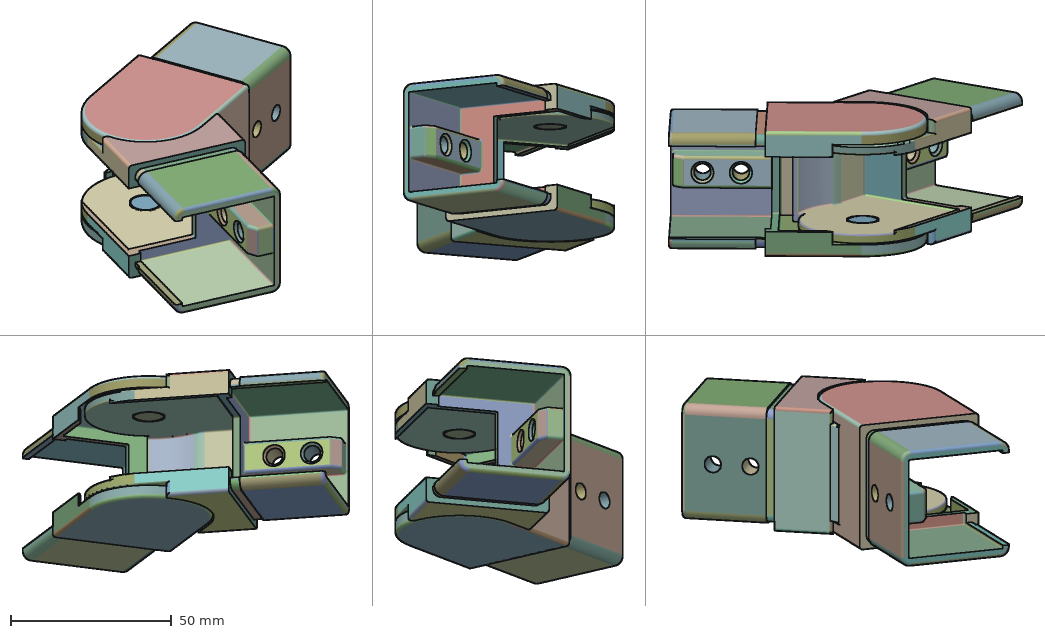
import cadquery as cq
import math


BEND_ANGLE = 125.0
PIN_RADIUS = 5.0
PIN_CHAMFER = 0.3
PIN_END = 18.0

BLOCK_HALF = 40.0 / 2
BLOCK_END = 30.0
BLOCK_EDGE_RADIUS = 1.1
OPENING_HALF_HEIGHT = 12.0
RIM_INNER = 18.2
BACK_WALL_INNER = 18.2
BULKHEAD_START = 25.9
BULKHEAD_END = 28.3
BULKHEAD_EDGE = 3.8
INNER_RADIUS = 0.5

OUTER_CHEEK_INNER = 16.0
INNER_CHEEK_OUTER = 15.7
INNER_CHEEK_INNER = 12.7
CHEEK_EDGE_RADIUS = 0.5
OUTER_RIM_START = 9.0
OUTER_RIM_CLEARANCE = 21.5
RECESS_RADIUS = BLOCK_HALF + 0.2
RECESS_STOP = 9.8
RECESS_FRONT_RADIUS = 1.4
RECESS_BACK_RADIUS = 0.9

SHIELD_INNER_RADIUS = 21.6
SHIELD_OUTER_RADIUS = 23.4
SHIELD_CLEARANCE = SHIELD_OUTER_RADIUS + 0.3
SHIELD_END_ANGLE = 104.0
SHIELD_END_RADIUS = 0.5
SHIELD_START_ANGLE = 45.0
SHIELD_BLEND_RADIUS = 7.4

PLUG_HALF = 18.2
PLUG_HALF_HEIGHT = 18.5
PLUG_END = 60.0
PLUG_CORNER_RADIUS = 3.0
PLUG_END_RADIUS = 1.1
NECK_END = 33.0
NECK_DEPTH = 0.4
CAVITY_HALF = 15.8
CAVITY_RADIUS = 0.4
MOUTH_HALF_HEIGHT = 14.8

PAD_FACE = 8.3
PAD_HALF_HEIGHT = 5.1
PAD_END = 59.2
PAD_RAMP_START = 55.9
PAD_RAMP_END_FACE = 10.5
PAD_EDGE_RADIUS = 1.0
SCREW_FIRST = 38.0
SCREW_PITCH = 12.0
SCREW_COUNT = 2
SCREW_DIAMETER = 5.2
SINK_DIAMETER = 7.0

REACH = 87.1


def block(x0, x1, y0, y1, half_height):
    """Box from x0 to x1 and y0 to y1, centred on z = 0."""
    return (
        cq.Workplane("XY")
        .box(x1 - x0, y1 - y0, 2 * half_height, centered=(False, False, True))
        .translate((x0, y0, 0))
    )


def disc(radius, half_height):
    """Disc about the hinge axis, centred on z = 0."""
    return cq.Workplane("XY").circle(radius).extrude(half_height, both=True)


def polar(radius, angle):
    """Point in the XY plane at an angle in degrees about the hinge axis."""
    return (radius * math.cos(math.radians(angle)), radius * math.sin(math.radians(angle)))


def knuckle(half_height):
    """Straight block with a round end about the hinge axis."""
    return (
        cq.Workplane("XY")
        .moveTo(BLOCK_END, -BLOCK_HALF)
        .lineTo(0, -BLOCK_HALF)
        .threePointArc((-BLOCK_HALF, 0), (0, BLOCK_HALF))
        .lineTo(BLOCK_END, BLOCK_HALF)
        .close()
        .extrude(half_height, both=True)
    )


def rounded_knuckle():
    """Full-height knuckle with rounded long and round-end edges."""
    return knuckle(BLOCK_HALF).faces("|Z").edges("not >X").fillet(BLOCK_EDGE_RADIUS)


def plug():
    """Tube plug with a slimmer neck beside the block."""
    head = (
        block(NECK_END, PLUG_END, -PLUG_HALF, PLUG_HALF, PLUG_HALF_HEIGHT)
        .edges("|X")
        .fillet(PLUG_CORNER_RADIUS)
        .faces(">X")
        .edges()
        .fillet(PLUG_END_RADIUS)
    )
    neck_half = PLUG_HALF - NECK_DEPTH
    neck = (
        block(BULKHEAD_END, NECK_END, -neck_half, neck_half, PLUG_HALF_HEIGHT - NECK_DEPTH)
        .edges("|X")
        .fillet(PLUG_CORNER_RADIUS - NECK_DEPTH)
    )
    return head.union(neck)


def screw_pad():
    """Sharp-edged pad on the inside of the back wall, ramped at its free end."""
    return (
        cq.Workplane("XY")
        .moveTo(BULKHEAD_START, BACK_WALL_INNER)
        .lineTo(BULKHEAD_START, PAD_FACE)
        .lineTo(PAD_RAMP_START, PAD_FACE)
        .lineTo(PAD_END, PAD_RAMP_END_FACE)
        .lineTo(PAD_END, BACK_WALL_INNER)
        .close()
        .extrude(PAD_HALF_HEIGHT, both=True)
    )


def plug_cavity():
    """Hollow of the plug, leaving the screw pad standing, with every inside edge rounded."""
    cavity = block(BULKHEAD_END, REACH, -CAVITY_HALF, CAVITY_HALF, CAVITY_HALF).cut(screw_pad())
    pad_zone = cq.selectors.BoxSelector(
        (BULKHEAD_END + 1.1, PAD_FACE - 1.1, -PAD_HALF_HEIGHT - 1.1),
        (PAD_END + 1.1, CAVITY_HALF - 1.1, PAD_HALF_HEIGHT + 1.1),
    )
    cavity = cavity.edges(pad_zone).edges("not |Z").fillet(PAD_EDGE_RADIUS)
    return cavity.edges("not >X").fillet(CAVITY_RADIUS)


def screw_holes():
    """Countersunk screw holes through the pad and the back wall."""
    sink_depth = (SINK_DIAMETER - SCREW_DIAMETER) / 2
    cutters = cq.Workplane("XY")
    for index in range(SCREW_COUNT):
        cutter = (
            cq.Workplane("XY")
            .lineTo(SINK_DIAMETER / 2, 0)
            .lineTo(SCREW_DIAMETER / 2, sink_depth)
            .lineTo(SCREW_DIAMETER / 2, PLUG_HALF)
            .lineTo(0, PLUG_HALF)
            .close()
            .revolve(360, (0, 0, 0), (0, 1, 0))
            .translate((SCREW_FIRST + index * SCREW_PITCH, PAD_FACE, 0))
        )
        cutters = cutters.add(cutter)
    return cutters


def add_tail(knuckle_body):
    """Add the hollow plug, its screw pad and the bulkhead window to a knuckle."""
    mouth = block(BLOCK_END, REACH, -REACH, 0, MOUTH_HALF_HEIGHT)
    window = (
        block(-REACH, BLOCK_END, -REACH, BULKHEAD_EDGE, OPENING_HALF_HEIGHT)
        .edges("|X")
        .edges(">Y")
        .fillet(INNER_RADIUS)
    )
    body = knuckle_body.union(plug()).cut(plug_cavity()).cut(mouth).cut(window)
    for cutter in screw_holes().vals():
        body = body.cut(cq.Workplane(cutter))
    return body


def pin_hole():
    """Cutter for both pins."""
    return disc(PIN_RADIUS, PIN_END)


def outer_arm():
    """Arm whose cheeks lie outside at the hinge, modelled along +X."""
    pocket = (
        block(-REACH, BULKHEAD_START, -RIM_INNER, BACK_WALL_INNER, OUTER_CHEEK_INNER)
        .faces(">X")
        .edges()
        .fillet(INNER_RADIUS)
    )
    shield_sweep = disc(SHIELD_CLEARANCE, OUTER_CHEEK_INNER).intersect(
        block(-REACH, REACH, 0, REACH, OUTER_CHEEK_INNER)
    )
    rim_sweep = disc(OUTER_RIM_CLEARANCE, OUTER_CHEEK_INNER)
    rim_end = block(-REACH, OUTER_RIM_START, -REACH, 0, OUTER_CHEEK_INNER)
    body = rounded_knuckle().cut(pocket).cut(shield_sweep).cut(rim_sweep).cut(rim_end)
    return add_tail(body).cut(pin_hole())


def hinge_recess():
    """Space above the inner cheeks for the outer cheeks: a round seat, a stop and the folded arm."""
    height = REACH
    seat = disc(RECESS_RADIUS, height)
    front_stop = block(-REACH, RECESS_STOP, -REACH, 0, height)
    folded_arm = block(0, REACH, -RECESS_RADIUS, RECESS_RADIUS, height).rotate(
        (0, 0, 0), (0, 0, 1), BEND_ANGLE
    )
    return seat.union(front_stop).union(folded_arm)


def inner_caps():
    """Full-height part of the inner arm's knuckle, with rounded corners beside the recess."""
    caps = knuckle(BLOCK_HALF).cut(hinge_recess())
    corners = cq.selectors.BoxSelector((RECESS_STOP - 1.1, -REACH, -REACH), (BULKHEAD_START, REACH, REACH))
    caps = caps.edges("|Z").edges(corners).edges("<Y").fillet(RECESS_FRONT_RADIUS)
    caps = caps.edges("|Z").edges(corners).edges(">Y").fillet(RECESS_BACK_RADIUS)
    return caps.intersect(rounded_knuckle())


def shield_sector():
    """Pie-shaped sector, from the hinge axis to the outside of the shield."""
    middle_angle = (SHIELD_START_ANGLE + SHIELD_END_ANGLE) / 2
    return (
        cq.Workplane("XY")
        .lineTo(*polar(SHIELD_OUTER_RADIUS, SHIELD_START_ANGLE))
        .threePointArc(
            polar(SHIELD_OUTER_RADIUS, middle_angle), polar(SHIELD_OUTER_RADIUS, SHIELD_END_ANGLE)
        )
        .close()
        .extrude(INNER_CHEEK_OUTER, both=True)
    )


def inner_pocket():
    """Hollow between the inner cheeks, bounded by the shield, back wall, bulkhead and front rim."""
    wall_meets_shield = math.sqrt(SHIELD_INNER_RADIUS**2 - BACK_WALL_INNER**2)
    rim_meets_round = -math.sqrt(SHIELD_INNER_RADIUS**2 - RIM_INNER**2)
    pocket = (
        cq.Workplane("XY")
        .moveTo(BULKHEAD_START, -RIM_INNER)
        .lineTo(BULKHEAD_START, BACK_WALL_INNER)
        .lineTo(wall_meets_shield, BACK_WALL_INNER)
        .threePointArc((-SHIELD_INNER_RADIUS, 0), (rim_meets_round, -RIM_INNER))
        .close()
        .extrude(INNER_CHEEK_INNER, both=True)
    )
    near_blend = cq.selectors.NearestToPointSelector((wall_meets_shield, BACK_WALL_INNER, 0))
    pocket = pocket.edges("|Z").edges(near_blend).fillet(SHIELD_BLEND_RADIUS)
    pocket = pocket.edges("|Z").edges(">X").edges(">Y").fillet(INNER_RADIUS)
    return pocket.faces("|Z").edges("not <Y").fillet(INNER_RADIUS)


def inner_cheeks():
    """Pair of inner cheeks with the shield between them and the back wall behind."""
    cheeks = knuckle(INNER_CHEEK_OUTER).union(shield_sector())
    cheeks = cheeks.faces("|Z").edges().fillet(CHEEK_EDGE_RADIUS).cut(inner_pocket())
    shield_end = cq.selectors.NearestToPointSelector((*polar(SHIELD_INNER_RADIUS, SHIELD_END_ANGLE), 0))
    cheeks = cheeks.edges("|Z").edges(shield_end).fillet(SHIELD_END_RADIUS)
    for side in (1, -1):
        round_edge = cq.selectors.NearestToPointSelector((-BLOCK_HALF, 0, side * INNER_CHEEK_INNER))
        cheeks = cheeks.edges(round_edge).fillet(CHEEK_EDGE_RADIUS)
    return cheeks


def inner_arm():
    """Arm whose cheeks lie inside at the hinge and which carries the shield, modelled along +X."""
    body = inner_cheeks().union(inner_caps()).cut(inner_pocket())
    return add_tail(body).cut(pin_hole())


def hinge_pins():
    """One pin per side, chamfered and flush with the inner face of the inner cheek."""
    pin = (
        cq.Workplane("XY", origin=(0, 0, INNER_CHEEK_INNER))
        .circle(PIN_RADIUS)
        .extrude(PIN_END - INNER_CHEEK_INNER)
        .faces("<Z")
        .chamfer(PIN_CHAMFER)
    )
    return [pin.val(), pin.mirror("XY").val()]


straight_arm = inner_arm()
folded_arm = outer_arm().mirror("XZ").rotate((0, 0, 0), (0, 0, 1), BEND_ANGLE)

result = cq.Compound.makeCompound([straight_arm.val(), folded_arm.val(), *hinge_pins()])